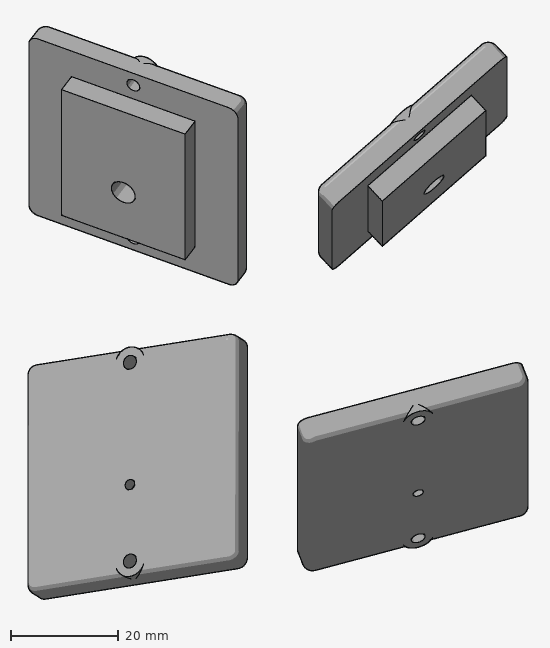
import cadquery as cq

plate_width = 44.0
plate_height = 45.0
plate_thickness = 5.0
edge_radius = 2.0

block_width = 26.0
block_height = 32.0
block_depth = 4.0

mount_hole_diameter = 2.7
collar_radius = 3.0
mount_offset = plate_height / 2 - collar_radius

bore_z = -4.5
bore_diameter = 5.0
bore_depth = 6.0
pilot_diameter = 2.0

total_depth = block_depth + plate_thickness


def cylinder_along_y(diameter, z, start, length):
    """Cylinder centred on X = 0, running toward +Y from Y = start."""
    return cq.Workplane(
        cq.Solid.makeCylinder(diameter / 2, length, cq.Vector(0, start, z), cq.Vector(0, 1, 0))
    )


def make_plate():
    blank = cq.Workplane("XY").box(
        plate_width, plate_thickness, plate_height, centered=(True, False, True)
    )
    return blank.edges("|Y or >Y").fillet(edge_radius).translate((0, block_depth, 0))


def make_block():
    return cq.Workplane("XY").box(
        block_width, block_depth, block_height, centered=(True, False, True)
    )


result = make_plate().union(make_block())

for z in (-mount_offset, mount_offset):
    collar = cylinder_along_y(2 * collar_radius, z, block_depth, plate_thickness)
    mount_hole = cylinder_along_y(mount_hole_diameter, z, block_depth, plate_thickness)
    result = result.union(collar).cut(mount_hole)

result = result.cut(cylinder_along_y(bore_diameter, bore_z, 0, bore_depth))
result = result.cut(cylinder_along_y(pilot_diameter, bore_z, 0, total_depth))